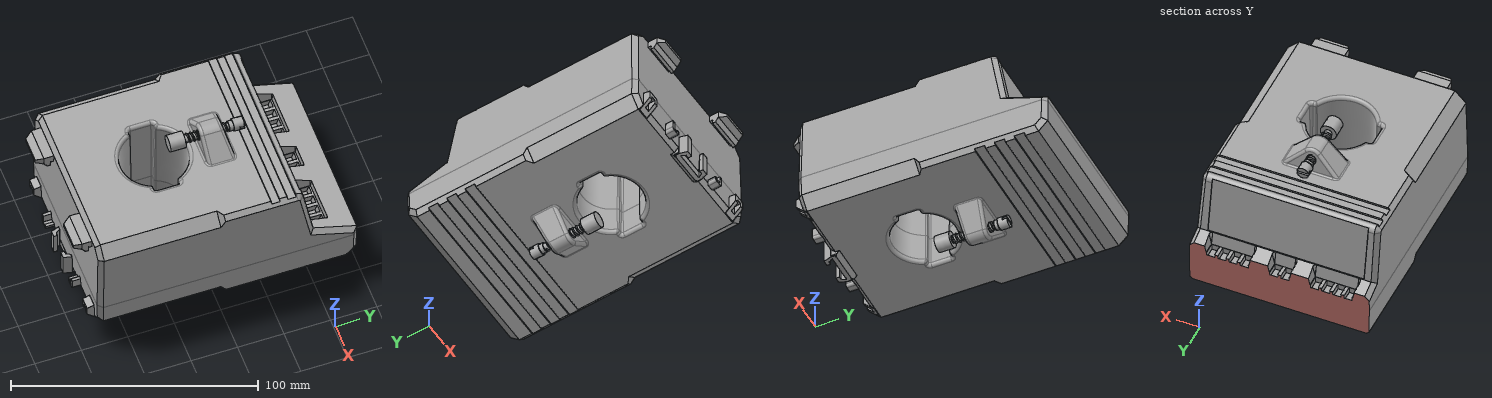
import cadquery as cq
import math


overall_height = 71.0
half_height = 50.0 / 2
half_width = 80.0 / 2
front_y = -52.5
back_y = 59.3
parting_z = -10.5
draft_angle = 1.0
draft = math.tan(math.radians(draft_angle))
edge_chamfer = 2.0
back_bottom_chamfer = 4.1
ledge_back_z = -7.8
ledge_foot_y = 40.5
ledge_foot_z = -1.0
wall_lean = math.radians(10.0)
wall_fillet = 3.0

clearance = 1.2
tolerance = 0.01

deep_chamfer = 4.9
deep_chamfer_end_y = 0.2

groove_depth = 0.8
top_groove_width = 3.5
top_groove_centers = (31.3, 24.4)
bottom_groove_width = 4.5
bottom_groove_back_y = 46.6
bottom_groove_pitch = 8.9
bottom_groove_count = 3

terminal_pitch = 5.0
terminal_bank_x = 23.0
rib_width = 1.5
window_margin = 0.18
window_y = (41.7, 48.0)
window_floor_z = -6.5
window_taper = 12.0
cell_y = (41.8, 46.3)
cell_floor_z = -9.2
cell_back_run = 1.0

label_half_width = 34.6
label_depth = 0.5

bore_y = -14.3
bore_radius = 13.7
slot_half_width = 15.4
slot_half_length = 4.9
slot_corner_radius = 0.5
slot_mouth_radius = 1.0
rim_fillet = 1.5

lug_radius = 4.9
lug_top_z = overall_height / 2
screw_z = lug_top_z - lug_radius
lug_front_y = 4.6
lug_back_base_y = 16.6
lug_back_top_y = 14.3
lug_fillet = 1.4
lug_foot_fillet = 0.8

head_radius = 2.6
head_back_y = 23.8
head_front_y = 19.4
driver_slot_width = 1.0
driver_slot_depth = 2.0
thread_radius = 2.1
thread_root_radius = 1.7
thread_pitch = 1.8
collar_front_y = 17.7
cap_radius = 3.5
cap_back_y = -1.7
cap_length = 6.6
cap_taper = 0.5

hook_center_x = 22.8
hook_width = 15.0
hook_tip_y = -59.3
hook_shoulder_y = -56.2
hook_tip_inset = 1.8

fitting_front_y = -56.0
inner_y = front_y + edge_chamfer
guide_center_x = 31.6
guide_width = 5.3
guide_front_y = -55.5
guide_top_z = -15.4
guide_underside_z = -20.2
guide_top_drop = 0.7
guide_slot_width = 2.1
guide_slot_top_z = -18.3
guide_slot_bite = 0.1
post_top_z = -16.1
foot_z = -26.9
foot_half_width = 8.3
foot_back_y = -48.4
foot_bevel_width = 1.2
foot_bevel_height = 0.6


def drafted(size, z):
    """Distance of a drafted side face from the middle plane at height z."""
    return size - abs(z - parting_z) * draft


def box_between(x_range, y_range, z_range):
    size = [high - low for low, high in (x_range, y_range, z_range)]
    corner = (x_range[0], y_range[0], z_range[0])
    return cq.Workplane("XY").box(*size, centered=False).translate(corner)


def yz_prism(points, x_range):
    """Prism with a (y, z) outline, spanning x_range."""
    prism = cq.Workplane("YZ").polyline(points).close().extrude(x_range[1] - x_range[0])
    return prism.translate((x_range[0], 0, 0))


def both_sides(shape):
    """The shape and its mirror image across X = 0."""
    return [shape, shape.mirror("YZ")]


def make_shell():
    """Drafted case block with its edge chamfers."""
    front_top = -drafted(-front_y, half_height)
    front_bottom = -drafted(-front_y, -half_height)
    back_bottom = drafted(back_y, -half_height)
    wall_top_y = ledge_foot_y - (half_height - ledge_foot_z) * math.tan(wall_lean)
    side_outline = [
        (front_y, parting_z),
        (front_top, half_height - edge_chamfer),
        (front_top + edge_chamfer, half_height),
        (wall_top_y, half_height),
        (ledge_foot_y, ledge_foot_z),
        (drafted(back_y, ledge_back_z), ledge_back_z),
        (back_y, parting_z),
        (back_bottom, -half_height + back_bottom_chamfer),
        (back_bottom - back_bottom_chamfer, -half_height),
        (front_bottom + edge_chamfer, -half_height),
        (front_bottom, -half_height + edge_chamfer),
    ]
    block = yz_prism(side_outline, (-half_width, half_width))
    wall_top = cq.selectors.NearestToPointSelector((0, wall_top_y, half_height))
    block = block.edges(wall_top).fillet(wall_fillet)

    top_half = drafted(half_width, half_height)
    bottom_half = drafted(half_width, -half_height)
    front_outline = [
        (-half_width, parting_z),
        (-top_half, half_height),
        (top_half, half_height),
        (half_width, parting_z),
        (bottom_half, -half_height),
        (-bottom_half, -half_height),
    ]
    envelope = cq.Workplane("XZ").polyline(front_outline).close().extrude(back_y - front_y, both=True)
    block = block.intersect(envelope)

    shell = None
    for z_end in (half_height, -half_height):
        z_range = sorted((parting_z, z_end))
        half = block.intersect(box_between((-half_width, half_width), (front_y, back_y), z_range))
        side_edges = [
            edge
            for edge in half.edges().vals()
            if abs(edge.Center().x) > half_width - edge_chamfer
            and abs(edge.Center().z - parting_z) > tolerance
        ]
        half = half.newObject(side_edges).chamfer(edge_chamfer)
        shell = half if shell is None else shell.union(half, tol=tolerance)
    return shell


def deep_chamfer_cutter(z_sign):
    """Cutter for the deep chamfer of the +X edge at the top (+1) or bottom (-1).

    Its outline is drawn along the edge, so it also forms the sloping run-out at the rear
    end and the chamfer where the deep chamfer meets the front face.
    """
    corner_x = drafted(half_width, z_sign * half_height)
    corner_front = -drafted(-front_y, z_sign * half_height)
    depth = deep_chamfer / math.sqrt(2)
    outline = [
        (deep_chamfer_end_y + depth + clearance, clearance),
        (deep_chamfer_end_y, -depth),
        (corner_front + edge_chamfer, -depth),
        (corner_front - clearance, -depth - edge_chamfer - clearance),
        (corner_front - clearance, clearance),
    ]
    edge_plane = cq.Plane(origin=(corner_x, 0, half_height), xDir=(0, 1, 0), normal=(1, 0, -1))
    cutter = cq.Workplane(edge_plane).polyline(outline).close().extrude(4 * deep_chamfer, both=True)
    return cutter if z_sign > 0 else cutter.mirror("XY")


def cut_deep_chamfers(case):
    for z_sign in (1, -1):
        for cutter in both_sides(deep_chamfer_cutter(z_sign)):
            case = case.cut(cutter)
    return case


def cut_grooves(case):
    full_x = (-half_width, half_width)
    for y in top_groove_centers:
        y_range = (y - top_groove_width / 2, y + top_groove_width / 2)
        case = case.cut(box_between(full_x, y_range, (half_height - groove_depth, half_height)))
    for index in range(bottom_groove_count):
        y = bottom_groove_back_y - index * bottom_groove_pitch
        y_range = (y - bottom_groove_width / 2, y + bottom_groove_width / 2)
        case = case.cut(box_between(full_x, y_range, (-half_height, -half_height + groove_depth)))
    return case


def cut_terminal_window(case, center_x, count):
    """Tapered window in the ledge with a row of deeper terminal cells in its floor."""
    cell_width = terminal_pitch - rib_width
    floor_width = (count - 1) * terminal_pitch + cell_width + 2 * window_margin
    window = (
        cq.Workplane("XY", origin=(center_x, sum(window_y) / 2, window_floor_z))
        .rect(floor_width, window_y[1] - window_y[0])
        .extrude(-ledge_back_z, taper=-window_taper)
    )
    case = case.cut(window)
    cell_outline = [
        (cell_y[0], cell_floor_z),
        (cell_y[1], cell_floor_z),
        (cell_y[1] + cell_back_run, window_floor_z),
        (cell_y[0], window_floor_z),
    ]
    for index in range(count):
        x = center_x + (index - (count - 1) / 2) * terminal_pitch
        case = case.cut(yz_prism(cell_outline, (x - cell_width / 2, x + cell_width / 2)))
    return case


def cut_label_recess(case):
    """Shallow recess in the steep wall, running out in the fillet above it."""
    rise = half_height - ledge_foot_z
    run = rise * math.tan(wall_lean)
    depth_y = label_depth / math.cos(wall_lean)
    outline = [
        (ledge_foot_y - depth_y, ledge_foot_z),
        (ledge_foot_y, ledge_foot_z),
        (ledge_foot_y - run, half_height),
        (ledge_foot_y - run - depth_y, half_height),
    ]
    return case.cut(yz_prism(outline, (-label_half_width, label_half_width)))


def lug_outline(workplane):
    """Triangle with 45-degree flanks and a round top, rooted inside the case."""
    tangent = lug_radius / math.sqrt(2)
    root_z = half_height - clearance
    root_x = tangent + screw_z + tangent - root_z
    return (
        workplane.moveTo(-root_x, root_z)
        .lineTo(-tangent, screw_z + tangent)
        .threePointArc((0, lug_top_z), (tangent, screw_z + tangent))
        .lineTo(root_x, root_z)
        .close()
    )


def make_lug():
    """Clamping lug on the top face with a leaning back face and rounded edges."""
    lug = lug_outline(cq.Workplane("XZ")).extrude(-lug_back_base_y - lug_radius)
    lean = (lug_back_base_y - lug_back_top_y) / (lug_top_z - half_height)
    root_z = half_height - clearance
    side = [
        (lug_front_y, root_z),
        (lug_front_y, lug_top_z),
        (lug_back_top_y, lug_top_z),
        (lug_back_base_y + lean * clearance, root_z),
    ]
    lug = lug.intersect(yz_prism(side, (-half_width, half_width)))
    return lug.faces("<Y or >Y").edges("not <Z").fillet(lug_fillet)


def add_lugs(case):
    lug = make_lug()
    for body in (lug, lug.mirror("XY")):
        case = case.union(body)
    foot_edges = [
        edge
        for edge in case.edges().vals()
        if abs(abs(edge.Center().z) - half_height) < tolerance
        and abs(edge.Center().x) < half_width / 2
        and lug_front_y - tolerance < edge.Center().y < lug_back_base_y + tolerance
    ]
    return case.newObject(foot_edges).fillet(lug_foot_fillet)


def cut_bore(case):
    """Round conductor bore with a rectangular slot across it and rounded rims."""
    bore = cq.Workplane("XY").circle(bore_radius).extrude(1.2)
    slot = cq.Workplane("XY").rect(2 * slot_half_width, 2 * slot_half_length).extrude(1.2)
    slot = slot.edges("|Z").fillet(slot_corner_radius)
    bore = bore.union(slot)
    mouth_x = math.sqrt(bore_radius**2 - slot_half_length**2)
    mouth = [
        edge
        for edge in bore.edges("|Z").vals()
        if abs(abs(edge.Center().x) - mouth_x) < tolerance
    ]
    bore = bore.newObject(mouth).fillet(slot_mouth_radius)
    bore = bore.translate((0, bore_y, parting_z))
    outline = bore.faces("<Z").wires()
    for end_z in (half_height, -half_height):
        case = case.cut(outline.toPending().extrude(end_z - parting_z, combine=False, taper=-draft_angle))
    rim_edges = [
        edge
        for edge in case.edges().vals()
        if abs(abs(edge.Center().z) - half_height) < tolerance
        and math.hypot(edge.Center().x, edge.Center().y - bore_y) < slot_half_width + clearance
    ]
    return case.newObject(rim_edges).fillet(rim_fillet)


def make_hook():
    """Snap hook at the top of the front face, with a narrowed, sloping tip."""
    top_z = half_height - edge_chamfer
    seat_z = 19.4
    catch_z = 17.3
    tip_top_z = 21.2
    catch_y = (-53.3, -54.8)
    outline = [
        (inner_y, top_z),
        (hook_shoulder_y, top_z),
        (hook_tip_y, tip_top_z),
        (hook_tip_y, seat_z),
        (hook_shoulder_y, seat_z),
        (catch_y[1], catch_z),
        (catch_y[0], catch_z),
        (catch_y[0], seat_z),
        (inner_y, seat_z),
    ]
    hook = yz_prism(outline, (-hook_width / 2, hook_width / 2))
    plan = [
        (-hook_width / 2, inner_y),
        (-hook_width / 2, hook_shoulder_y),
        (-hook_width / 2 + hook_tip_inset, hook_tip_y),
        (hook_width / 2 - hook_tip_inset, hook_tip_y),
        (hook_width / 2, hook_shoulder_y),
        (hook_width / 2, inner_y),
    ]
    tip_taper = cq.Workplane("XY").polyline(plan).close().extrude(half_height)
    return hook.intersect(tip_taper).translate((hook_center_x, 0, 0))


def make_guide():
    """Slotted block near a bottom corner, sloping back to the case underneath."""
    slope_run = guide_front_y - inner_y
    outline = [
        (inner_y, guide_top_z),
        (front_y, guide_top_z),
        (guide_front_y, guide_top_z - guide_top_drop),
        (guide_front_y, guide_underside_z),
        (inner_y, guide_underside_z + slope_run),
    ]
    guide = yz_prism(outline, (-guide_width / 2, guide_width / 2))
    slot = box_between(
        (-guide_slot_width / 2, guide_slot_width / 2),
        (guide_front_y, front_y + guide_slot_bite),
        (-half_height, guide_slot_top_z),
    )
    return guide.cut(slot).translate((guide_center_x, 0, 0))


def make_clip():
    """J-shaped clip: an upright, a rounded bend and a short lip."""
    outer_x = 18.0
    upright_x = 16.6
    lip_inner_x = 14.7
    lip_outer_x = 13.4
    top_z = -18.3
    floor_z = -22.2
    lip_z = -21.3
    bottom_z = -23.5
    bend_radius = 1.2
    outline = [
        (outer_x, top_z),
        (outer_x, bottom_z),
        (lip_outer_x, bottom_z),
        (lip_outer_x, lip_z),
        (lip_inner_x, lip_z),
        (lip_inner_x, floor_z),
        (upright_x, floor_z),
        (upright_x, top_z),
    ]
    length = inner_y - fitting_front_y
    clip = cq.Workplane("XZ", origin=(0, inner_y, 0)).polyline(outline).close().extrude(length)
    return clip.edges("|Y and <Z").fillet(bend_radius)


def make_post():
    """Post of L section with a leaning web and a flange that points to the middle."""
    web_outer_x = 8.1
    web_inner_x = 6.6
    flange_outer_x = 7.0
    flange_inner_x = 4.1
    flange_back_y = -54.3
    plan = [
        (web_outer_x, inner_y),
        (web_outer_x, front_y),
        (flange_outer_x, fitting_front_y),
        (flange_inner_x, fitting_front_y),
        (flange_inner_x, flange_back_y),
        (flange_outer_x - (web_outer_x - web_inner_x), flange_back_y),
        (web_inner_x, front_y),
        (web_inner_x, inner_y),
    ]
    post = cq.Workplane("XY", origin=(0, 0, foot_z)).polyline(plan).close()
    return post.extrude(post_top_z - foot_z)


def make_foot():
    """Plate between the posts that carries the front face below the case."""
    top_z = -half_height + edge_chamfer
    foot_front_y = -drafted(-front_y, top_z)
    drop = -half_height - foot_z
    side_outline = [
        (foot_front_y, top_z),
        (foot_front_y, foot_z),
        (foot_back_y - drop, foot_z),
        (foot_back_y, -half_height),
        (foot_back_y, top_z),
    ]
    bevel_x = foot_half_width - foot_bevel_width
    bevel_z = foot_z + foot_bevel_height
    front_outline = [
        (-foot_half_width, top_z),
        (-foot_half_width, bevel_z),
        (-bevel_x, foot_z),
        (bevel_x, foot_z),
        (foot_half_width, bevel_z),
        (foot_half_width, top_z),
    ]
    foot = yz_prism(side_outline, (-foot_half_width, foot_half_width))
    bevels = cq.Workplane("XZ").polyline(front_outline).close().extrude(-foot_front_y)
    return foot.intersect(bevels)


def add_front_fittings(case):
    case = case.union(make_foot())
    for maker in (make_hook, make_guide, make_clip, make_post):
        for fitting in both_sides(maker()):
            case = case.union(fitting)
    return case


def cut_screw_holes(case):
    """Holes through the lugs, sized for the screw threads."""
    hole = cq.Workplane("XZ").circle(thread_radius).extrude(-head_front_y)
    for z in (screw_z, -screw_z):
        case = case.cut(hole.translate((0, 0, z)))
    return case


def make_case():
    case = cut_deep_chamfers(make_shell())
    case = add_lugs(case)
    case = cut_bore(case)
    case = cut_grooves(case)
    case = cut_label_recess(case)
    for center_x, count in ((-terminal_bank_x, 4), (0, 2), (terminal_bank_x, 4)):
        case = cut_terminal_window(case, center_x, count)
    case = add_front_fittings(case)
    return cut_screw_holes(case)


def cylinder_along_y(radius, start_y, end_y):
    return cq.Workplane("XZ", origin=(0, end_y, 0)).circle(radius).extrude(end_y - start_y)


def make_screw(z):
    """Slotted screw along Y with a plain collar and a coarse helical thread."""
    head = cylinder_along_y(head_radius, head_front_y, head_back_y)
    driver_slot = box_between(
        (-head_radius, head_radius),
        (head_back_y - driver_slot_depth, head_back_y),
        (-driver_slot_width / 2, driver_slot_width / 2),
    )
    collar = cylinder_along_y(thread_radius, collar_front_y, head_front_y)
    core = cylinder_along_y(thread_root_radius, cap_back_y, collar_front_y)

    sunk = 0.1
    ridge_width = 1.1
    base_half = ridge_width / 2
    thread_length = collar_front_y - cap_back_y
    path = cq.Wire.makeHelix(thread_pitch, thread_length - 2 * base_half, thread_root_radius)
    ridge = (
        cq.Workplane("XZ")
        .moveTo(thread_root_radius - sunk, -base_half)
        .lineTo(thread_radius, 0)
        .lineTo(thread_root_radius - sunk, base_half)
        .close()
        .sweep(cq.Workplane(path), isFrenet=True)
        .translate((0, 0, base_half))
        .rotate((0, 0, 0), (1, 0, 0), -90)
        .translate((0, cap_back_y, 0))
    )
    screw = head.cut(driver_slot).union(collar).union(core).union(ridge)
    return screw.translate((0, 0, z))


def make_cap(z):
    """Insulating cap against the screw tip, slightly tapered."""
    cap = cq.Workplane("XZ", origin=(0, cap_back_y, z)).circle(cap_radius)
    return cap.extrude(cap_length, taper=cap_taper)


case = make_case()
screws = [make_screw(z) for z in (screw_z, -screw_z)]
caps = [make_cap(z) for z in (screw_z, -screw_z)]
result = cq.Compound.makeCompound([body.val() for body in (case, *screws, *caps)])